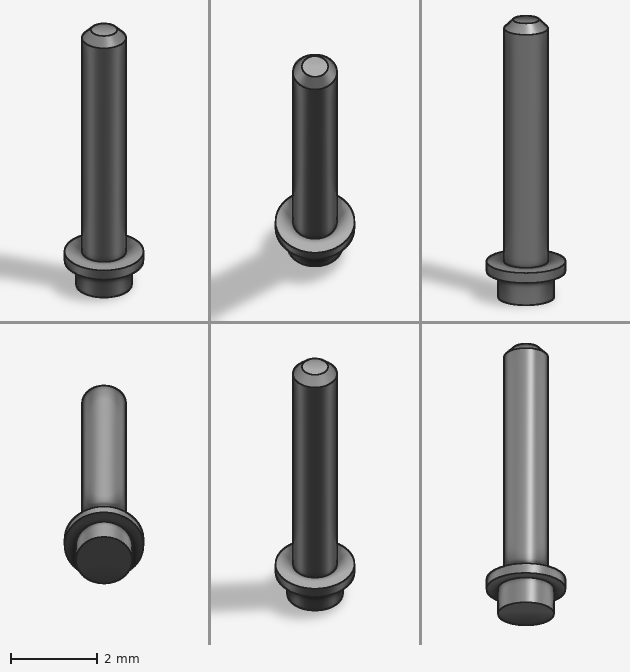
import cadquery as cq

total_height = 6.73

spigot_diameter = 1.3
spigot_height = 0.625

flange_diameter = 1.83
flange_thickness = 0.24

shaft_diameter = 1.02
tip_chamfer = 0.21
shaft_height = total_height - spigot_height - flange_thickness

spigot = cq.Workplane("XY").workplane(offset=-total_height / 2).circle(spigot_diameter / 2).extrude(spigot_height)
flange = spigot.faces(">Z").workplane().circle(flange_diameter / 2).extrude(flange_thickness)
pin = flange.faces(">Z").workplane().circle(shaft_diameter / 2).extrude(shaft_height)

result = pin.faces(">Z").edges().chamfer(tip_chamfer)